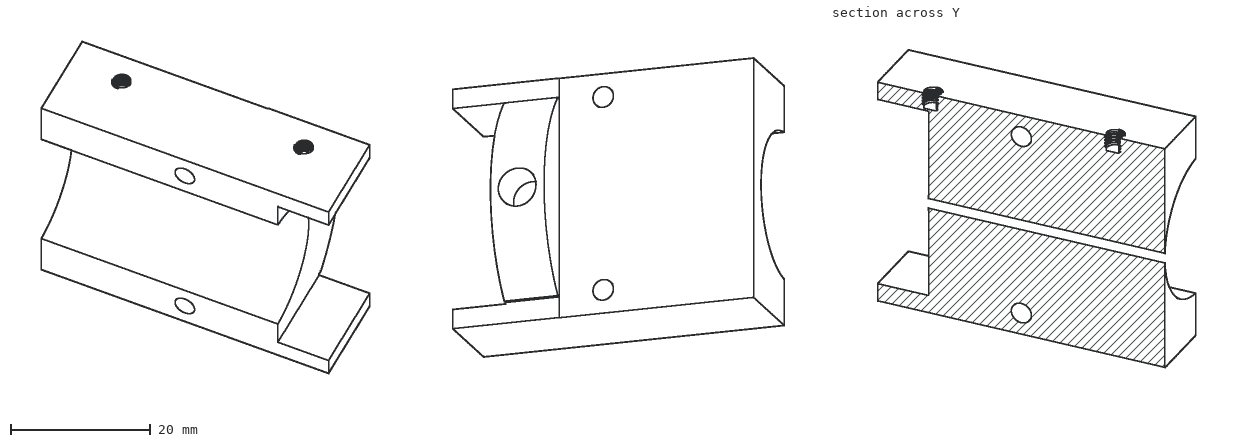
import cadquery as cq


block_length = 45.4
block_height = 36.0
block_depth = 13.75
step_depth = 13.85

bore_width = 22.1
bore_depth = 10.36
bore_radius = (bore_width**2 / 4 + bore_depth**2) / (2 * bore_depth)

prong_length = 8.0
prong_thickness = 2.9
gap_start = block_length - prong_length

lug_width = 8.1
lug_height = 29.8
lug_back = 20.65
lug_shoulder = 14.5
lug_start = gap_start - lug_width

lug_hole_diameter = 5.7
lug_hole_depth = lug_back - step_depth

clamp_hole_diameter = 3.09
clamp_hole_x = block_length / 2
clamp_hole_spacing = 29.0

thread_positions_x = (8.3, 37.1)
thread_y = 9.5
thread_minor_diameter = 2.53
thread_major_diameter = 3.0
thread_pitch = 0.5
thread_depth = 2.5
thread_groove_width = 0.4
thread_overlap = 0.1
thread_start_angle = 90


def box(x_start, x_end, y_end, height):
    """Box from the front face to y_end, centred on Z = 0."""
    size_x = x_end - x_start
    block = cq.Workplane("XY").box(size_x, y_end, height, centered=(False, False, True))
    return block.translate((x_start, 0, 0))


def make_block():
    base = box(0, block_length, block_depth, block_height)
    deeper_stretch = box(lug_start, block_length, step_depth, block_height)
    return base.union(deeper_stretch)


def make_lug():
    """Arched profile in the YZ plane, extruded along X."""
    half_height = lug_height / 2
    return (
        cq.Workplane("YZ", origin=(lug_start, 0, 0))
        .moveTo(bore_depth, -half_height)
        .lineTo(lug_shoulder, -half_height)
        .threePointArc((lug_back, 0), (lug_shoulder, half_height))
        .lineTo(bore_depth, half_height)
        .close()
        .extrude(lug_width)
    )


def make_bore():
    axis_y = bore_depth - bore_radius
    return cq.Workplane("YZ").center(axis_y, 0).circle(bore_radius).extrude(block_length)


def make_prong_gap():
    return box(gap_start, block_length, step_depth, block_height - 2 * prong_thickness)


def make_clamp_holes():
    positions = [(clamp_hole_x, side * clamp_hole_spacing / 2) for side in (-1, 1)]
    return cq.Workplane("XZ").pushPoints(positions).circle(clamp_hole_diameter / 2).extrude(-step_depth)


def make_lug_hole():
    hole_center = (lug_start + lug_width / 2, lug_back, 0)
    return cq.Workplane("XZ", origin=hole_center).circle(lug_hole_diameter / 2).extrude(lug_hole_depth)


def make_threaded_hole(x):
    """Blind hole with a helical V groove that runs out through the top face."""
    minor_radius = thread_minor_diameter / 2
    major_radius = thread_major_diameter / 2
    groove_root = minor_radius - thread_overlap
    half_groove = thread_groove_width / 2
    core = cq.Workplane("XY").circle(minor_radius).extrude(-thread_depth)
    helix_height = thread_depth - thread_pitch / 2
    helix = cq.Wire.makeHelix(thread_pitch, helix_height, groove_root)
    groove = (
        cq.Workplane("XZ")
        .polyline([(groove_root, -half_groove), (major_radius, 0), (groove_root, half_groove)])
        .close()
        .sweep(cq.Workplane(obj=helix), isFrenet=True)
        .rotate((0, 0, 0), (0, 0, 1), thread_start_angle)
        .translate((0, 0, half_groove - thread_depth))
    )
    return core.union(groove).translate((x, thread_y, block_height / 2))


result = make_block().union(make_lug())
result = result.cut(make_bore()).cut(make_prong_gap())
result = result.cut(make_clamp_holes()).cut(make_lug_hole())
for position_x in thread_positions_x:
    result = result.cut(make_threaded_hole(position_x))